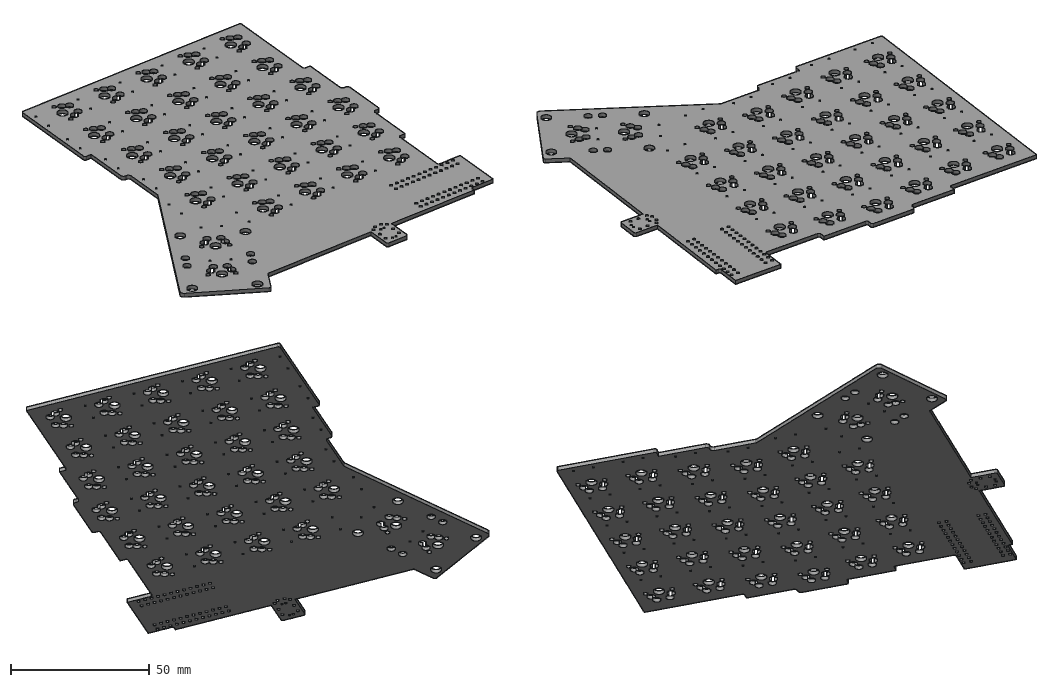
import cadquery as cq
import math

thickness = 1.7
board_length = 150.5
board_height = 136.3
body_height = 99.2
corner_radius = 0.8
step_radius = 1.2
thumb_corner_radius = 1.5

rows = 5
key_pitch = 95.3 / rows
steps_per_pitch = 15
grid_step = key_pitch / steps_per_pitch
first_key_x = 9.5
first_key_y = 38.7
column_stagger = 2.9
edge_margin = 11.5
column_lifts = [0, 0, column_stagger, 2 * column_stagger, column_stagger, 0]
short_column = 5

socket_diameter = 3.0
hole_diameters = {
    "key post": 4.0,
    "lower socket": socket_diameter,
    "upper socket": socket_diameter,
    "side post": 1.7,
    "diode": 0.7,
    "pin": 1.1,
    "jack post": 0.8,
    "stabilizer large": 3.9,
    "stabilizer small": 3.0,
}

side_post_u = 4 * grid_step
lower_socket_u = 3 * grid_step
lower_socket_v = 2 * grid_step
upper_socket_u = 2 * grid_step
upper_socket_v = 4 * grid_step

diode_half_span = 3 * grid_step
diode_drop = 9.2

thumb_angle = 60.0
outer_thumb_key = (130.8, 19.5)
thumb_half_width = 16.5
outer_diode_drop = 9.3
outer_diode_shift = 0.6
inner_diode_drop = 13.0
stabilizer_half_span = 11.9
stabilizer_large_offset = 8.3
stabilizer_small_offset = 6.9

tab_left = 118.9
tab_right = 138.8
body_right = 140.5
pin_columns = [120.0, 122.8, 135.0, 137.7]
pins_per_column = 12
pin_pitch = 2 * grid_step
top_pin_y = 132.3

jack_y = 84.3
jack_tab_half_width = 4.7
jack_pin_columns = [140.0, 143.7, 147.2]
jack_pin_half_span = 3.0
jack_inner_pin_x = 138.8
jack_inner_pin_half_span = 1.4
jack_post_columns = [141.3, 148.4]
jack_post_half_span = 0.8


def turned(centre, u, v, angle):
    """Point at local offset (u, v) from a centre whose axes are turned by an angle in degrees."""
    c = math.cos(math.radians(angle))
    s = math.sin(math.radians(angle))
    return (centre[0] + u * c - v * s, centre[1] + u * s + v * c)


def rounded_outline(corners):
    """Closed wire through (x, y, radius) corners, each rounded by an arc; radius 0 stays sharp."""
    wire = cq.Workplane("XY")
    started = False
    for i, (x, y, radius) in enumerate(corners):
        before = cq.Vector(*corners[i - 1][:2])
        after = cq.Vector(*corners[(i + 1) % len(corners)][:2])
        corner = cq.Vector(x, y)
        to_before = (before - corner).normalized()
        to_after = (after - corner).normalized()
        half_angle = to_before.getAngle(to_after) / 2
        setback = radius / math.tan(half_angle)
        start = corner + to_before * setback
        wire = wire.lineTo(start.x, start.y) if started else wire.moveTo(start.x, start.y)
        started = True
        if radius > 0:
            end = corner + to_after * setback
            bisector = (to_before + to_after).normalized()
            middle = corner + bisector * (radius / math.sin(half_angle) - radius)
            wire = wire.threePointArc((middle.x, middle.y), (end.x, end.y))
    return wire.close()


def column_x(column):
    return first_key_x + column * key_pitch


def thumb_point(u, v):
    return turned(outer_thumb_key, u, v, thumb_angle)


def board():
    bottom = first_key_y - edge_margin
    top = bottom + body_height
    step_x = [column_x(column) - key_pitch / 2 for column in range(2, len(column_lifts))]
    low_step = column_stagger
    high_step = 2 * column_stagger

    thumb_low = thumb_point(-thumb_half_width, -edge_margin)
    thumb_right = thumb_point(thumb_half_width, -edge_margin)
    edge_slope = math.tan(math.radians(thumb_angle - 90))
    slope_start_x = thumb_low[0] + (bottom + high_step - thumb_low[1]) / edge_slope
    neck_y = thumb_right[1] + (body_right - thumb_right[0]) * edge_slope

    r = corner_radius
    corners = [
        (0, bottom, r),
        (step_x[0], bottom, r),
        (step_x[0], bottom + low_step, 0),
        (step_x[1], bottom + low_step, step_radius),
        (step_x[1], bottom + high_step, step_radius),
        (slope_start_x, bottom + high_step, step_radius),
        (*thumb_low, thumb_corner_radius),
        (*thumb_right, r),
        (body_right, neck_y, 0),
        (body_right, jack_y - jack_tab_half_width, 0),
        (board_length, jack_y - jack_tab_half_width, r),
        (board_length, jack_y + jack_tab_half_width, r),
        (body_right, jack_y + jack_tab_half_width, 0),
        (body_right, top, 0),
        (tab_right, top, r),
        (tab_right, board_height, 0),
        (tab_left, board_height, 0),
        (tab_left, top, r),
        (step_x[3], top, r),
        (step_x[3], top + low_step, 0),
        (step_x[2], top + low_step, r),
        (step_x[2], top + high_step, r),
        (step_x[1], top + high_step, step_radius),
        (step_x[1], top + low_step, step_radius),
        (step_x[0], top + low_step, 0),
        (step_x[0], top, r),
        (0, top, 0),
    ]
    return rounded_outline(corners).extrude(thickness)


hole_centres = {kind: [] for kind in hole_diameters}


def add_holes(kind, points):
    hole_centres[kind].extend(points)


def add_key(centre, angle, diode_offset, diode_shift=0.0):
    """Post, sockets and side posts of one key, with a pair of diode holes beside it."""
    add_holes("key post", [centre])
    for side in (-1, 1):
        add_holes("side post", [turned(centre, side * side_post_u, 0, angle)])
        lower_socket = turned(centre, side * lower_socket_u, lower_socket_v, angle)
        upper_socket = turned(centre, side * upper_socket_u, upper_socket_v, angle)
        add_holes("lower socket", [lower_socket])
        add_holes("upper socket", [upper_socket])
        diode = turned(centre, diode_shift + side * diode_half_span, diode_offset, angle)
        add_holes("diode", [diode])


def add_stabilizer(centre, large_side):
    """Two large and two small stabilizer holes on opposite sides of a thumb key."""
    for side in (-1, 1):
        u = side * stabilizer_half_span
        large = turned(centre, u, large_side * stabilizer_large_offset, thumb_angle)
        small = turned(centre, u, -large_side * stabilizer_small_offset, thumb_angle)
        add_holes("stabilizer large", [large])
        add_holes("stabilizer small", [small])


for column, lift in enumerate(column_lifts):
    for row in range(1 if column == short_column else 0, rows):
        key = (column_x(column), first_key_y + lift + row * key_pitch)
        add_key(key, 0, -diode_drop)

inner_thumb_key = thumb_point(0, key_pitch)
add_key(outer_thumb_key, thumb_angle, outer_diode_drop, outer_diode_shift)
add_key(inner_thumb_key, thumb_angle, inner_diode_drop)
add_stabilizer(outer_thumb_key, -1)
add_stabilizer(inner_thumb_key, 1)

for x in pin_columns:
    add_holes("pin", [(x, top_pin_y - i * pin_pitch) for i in range(pins_per_column)])

for side in (-1, 1):
    add_holes("pin", [(x, jack_y + side * jack_pin_half_span) for x in jack_pin_columns])
    add_holes("pin", [(jack_inner_pin_x, jack_y + side * jack_inner_pin_half_span)])
    add_holes("jack post", [(x, jack_y + side * jack_post_half_span) for x in jack_post_columns])

result = board()
for kind, centres in hole_centres.items():
    drills = cq.Workplane("XY").pushPoints(centres).circle(hole_diameters[kind] / 2).extrude(thickness)
    result = result.cut(drills)